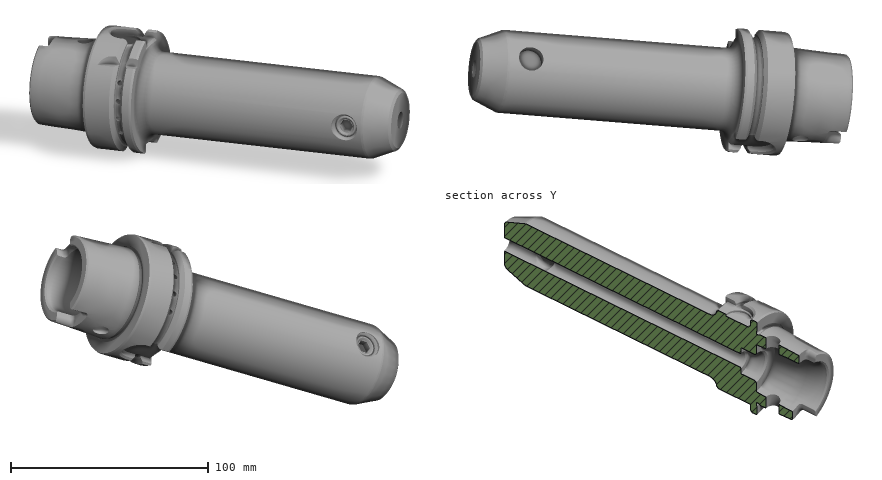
import cadquery as cq
import math

total_length = 192.0

taper_length = 32.0
taper_tail_radius = 22.7
taper_large_radius = 24.0
tail_edge_chamfer = 0.8
taper_end = 29.5
relief_start = 30.5
relief_depth = 0.8
face_recess_radius = 25.2
face_recess_depth = 0.5

flange_radius = 31.5
flange_end = taper_length + 26.0
flange_chamfer_length = 1.2
flange_chamfer_height = 0.4
groove_center = 49.7
groove_half_width = 3.5
groove_floor_half_width = 1.7
groove_floor_radius = 27.5
groove_wall_radius = 29.0
groove_corner_chamfer = 0.5

body_radius = 21.1
body_fillet = 4.5
nose_start = 178.5
nose_radius = 15.4
nose_blend = 2.9
nose_edge_chamfer = 1.2

entry_radius = 17.0
entry_chamfer = 0.8
entry_length = 13.2
clamp_bore_end_radius = 15.7
clamp_bore_depth = 32.6
nut_bore_radius = 8.6
nut_bore_depth = 42.2
nut_bore_chamfer = 1.0
passage_radius = 4.5
passage_chamfer = 0.8

tail_slot_width = 12.5
upper_slot_depth = 5.8
lower_slot_depth = 9.8
tail_slot_floor_fillet = 1.5
tail_slot_flare_radius = 2.9
tail_slot_flare_start = 18.5

access_hole_x = 22.5
access_hole_radius = 4.0

cutter_radius = 8.0
cutter_center_x = 44.5
drive_slot_floor = 26.5
drive_slot_chamfer = 1.2
chip_pocket_radius = 7.1
chip_pocket_depth = 1.2
notch_side = 20.4
notch_floor = 20.0

balance_hole_radius = 1.3
balance_hole_depth = 2.9
balance_hole_count = 4
balance_hole_first_angle = 25.5
balance_hole_pitch = 20.0

screw_x = 169.2
screw_radius = 5.8
screw_head_y = -18.5
screw_tip_y = -5.8
screw_chamfer = 0.8
socket_across_flats = 6.1
socket_depth = 4.8
socket_chamfer = 1.0
countersink_radius = 7.0
countersink_start = 18.6
relief_bore_x = 167.0
relief_bore_radius = 6.3
relief_bore_depth = 5.8

margin = 2.0
slack = 0.2


def revolve_about_x(points):
    """Solid of revolution from a closed (x, radius) outline."""
    return cq.Workplane("XZ").polyline(points).close().revolve(360, (0, 0, 0), (1, 0, 0))


def taper_and_body():
    """Taper shank, relief, body and nose: everything the flange sits on."""
    relief_radius = taper_large_radius - relief_depth
    recess_floor = taper_length + face_recess_depth
    core = (
        cq.Workplane("XZ")
        .moveTo(0, 0)
        .lineTo(0, taper_tail_radius - tail_edge_chamfer)
        .lineTo(tail_edge_chamfer, taper_tail_radius)
        .lineTo(taper_end, taper_large_radius)
        .lineTo(relief_start, taper_large_radius)
        .lineTo(relief_start + relief_depth, relief_radius)
        .lineTo(recess_floor, relief_radius)
        .lineTo(recess_floor, face_recess_radius)
        .lineTo(flange_end, face_recess_radius)
        .lineTo(flange_end, body_radius + body_fillet)
        .radiusArc((flange_end + body_fillet, body_radius), -body_fillet)
        .lineTo(nose_start, body_radius)
        .lineTo(total_length, nose_radius)
        .lineTo(total_length, 0)
        .close()
        .revolve(360, (0, 0, 0), (1, 0, 0))
    )
    nose_edge = cq.selectors.BoxSelector(
        (nose_start - slack, -flange_radius, -flange_radius),
        (nose_start + slack, flange_radius, flange_radius),
    )
    core = core.edges(nose_edge).fillet(nose_blend)
    return core.faces(">X").edges().chamfer(nose_edge_chamfer)


def flange_ring():
    """Flange with its drive slots, edge chamfers and V-groove, bored to fit the body."""
    start_plane = cq.Workplane("YZ", origin=(taper_length, 0, 0))
    ring = start_plane.circle(flange_radius).extrude(flange_end - taper_length)
    for turn in (0, 180):
        ring = ring.cut(drive_slot().rotate((0, 0, 0), (1, 0, 0), turn))
    ring = chamfer_slot_edges(ring)
    ring = ring.cut(groove_and_rim_cutter())
    return ring.cut(start_plane.circle(face_recess_radius).extrude(flange_end - taper_length))


def chamfer_slot_edges(ring):
    """Break the edges each drive slot leaves on the flange rim and on the floor's open end."""
    half_width = cutter_radius + slack
    rim_bottom = math.sqrt(flange_radius**2 - half_width**2) - slack
    for side in (1, -1):
        rim_edges = cq.selectors.BoxSelector(
            (taper_length + slack, -half_width, side * rim_bottom),
            (flange_end - slack, half_width, side * (flange_radius + slack)),
        )
        floor_end_edge = cq.selectors.BoxSelector(
            (flange_end - slack, -slack, side * (drive_slot_floor - slack)),
            (flange_end + slack, slack, side * (drive_slot_floor + slack)),
        )
        ring = ring.edges(rim_edges).chamfer(drive_slot_chamfer)
        ring = ring.edges(floor_end_edge).chamfer(drive_slot_chamfer)
    return ring


def groove_and_rim_cutter():
    """Ring that cuts the V-groove, together with the rings that chamfer both flange rims."""
    outside = flange_radius + margin
    cutter = revolve_about_x([
        (groove_center - groove_half_width, outside),
        (groove_center - groove_half_width, flange_radius),
        (groove_center - groove_floor_half_width, groove_wall_radius),
        (groove_center - groove_floor_half_width, groove_floor_radius + groove_corner_chamfer),
        (groove_center - groove_floor_half_width + groove_corner_chamfer, groove_floor_radius),
        (groove_center + groove_floor_half_width - groove_corner_chamfer, groove_floor_radius),
        (groove_center + groove_floor_half_width, groove_floor_radius + groove_corner_chamfer),
        (groove_center + groove_floor_half_width, groove_wall_radius),
        (groove_center + groove_half_width, flange_radius),
        (groove_center + groove_half_width, outside),
    ])
    for face_x, inward in ((taper_length, 1), (flange_end, -1)):
        rim_ring = revolve_about_x([
            (face_x, flange_radius - flange_chamfer_height),
            (face_x + inward * flange_chamfer_length, flange_radius),
            (face_x + inward * flange_chamfer_length, outside),
            (face_x, outside),
        ])
        cutter = cutter.union(rim_ring)
    return cutter


def inner_cavity():
    """Clamping bore, nut bore and the coolant passage that runs out through the nose."""
    return revolve_about_x([
        (0, 0),
        (0, entry_radius + entry_chamfer),
        (entry_chamfer, entry_radius),
        (entry_length, entry_radius),
        (clamp_bore_depth, clamp_bore_end_radius),
        (clamp_bore_depth, nut_bore_radius + nut_bore_chamfer),
        (clamp_bore_depth + nut_bore_chamfer, nut_bore_radius),
        (nut_bore_depth, nut_bore_radius),
        (nut_bore_depth, passage_radius + passage_chamfer),
        (nut_bore_depth + passage_chamfer, passage_radius),
        (total_length, passage_radius),
        (total_length, 0),
    ])


def tail_slot(depth, turn):
    """Slot cutter open at the tail face, flared outward near the taper surface, turned about X."""
    half_width = tail_slot_width / 2
    flare_half_width = half_width + tail_slot_flare_radius
    flare_end = tail_slot_flare_start + tail_slot_flare_radius
    top = taper_large_radius + margin
    slot = (
        cq.Workplane("YZ", origin=(-margin, 0, 0))
        .moveTo(-half_width, 0)
        .lineTo(half_width, 0)
        .lineTo(half_width, tail_slot_flare_start)
        .radiusArc((flare_half_width, flare_end), tail_slot_flare_radius)
        .lineTo(flare_half_width, top)
        .lineTo(-flare_half_width, top)
        .lineTo(-flare_half_width, flare_end)
        .radiusArc((-half_width, tail_slot_flare_start), tail_slot_flare_radius)
        .close()
        .extrude(depth + margin)
    )
    floor_corners = slot.faces(">X").edges("not |Y")
    slot = floor_corners.fillet(tail_slot_floor_fillet)
    return slot.rotate((0, 0, 0), (1, 0, 0), turn)


def access_hole():
    return (
        cq.Workplane("XY")
        .center(access_hole_x, 0)
        .circle(access_hole_radius)
        .extrude(taper_large_radius + margin, both=True)
    )


def drive_slot():
    """Flat-floored slot cutter with a round end, open toward +X."""
    run_out = flange_end - cutter_center_x + margin
    height = flange_radius - drive_slot_floor + margin
    plane = cq.Workplane("XY", origin=(cutter_center_x, 0, drive_slot_floor))
    round_end = plane.circle(cutter_radius).extrude(height)
    channel = plane.rect(run_out, 2 * cutter_radius).extrude(height).translate((run_out / 2, 0, 0))
    return round_end.union(channel)


def chip_pocket():
    """Shallow round pocket in the floor of the +Z drive slot."""
    return (
        cq.Workplane("XY", origin=(cutter_center_x, 0, drive_slot_floor - chip_pocket_depth))
        .circle(chip_pocket_radius)
        .extrude(flange_radius - drive_slot_floor)
    )


def orientation_notch():
    """Corner cut on the -Y, +Z side whose inner end follows the round cutter."""
    outer_y = notch_side + 2 * cutter_radius
    return (
        cq.Workplane("XY", origin=(0, 0, notch_floor))
        .moveTo(cutter_center_x, -notch_side)
        .lineTo(flange_end + margin, -notch_side)
        .lineTo(flange_end + margin, -outer_y)
        .lineTo(cutter_center_x, -outer_y)
        .threePointArc(
            (cutter_center_x - cutter_radius, -notch_side - cutter_radius),
            (cutter_center_x, -notch_side),
        )
        .close()
        .extrude(flange_radius)
    )


def balance_hole(angle):
    """Radial hole, angle measured from -Y toward +Z."""
    bottom = groove_floor_radius - balance_hole_depth
    return (
        cq.Workplane("XZ", origin=(groove_center, -bottom, 0))
        .circle(balance_hole_radius)
        .extrude(balance_hole_depth + margin)
        .rotate((0, 0, 0), (1, 0, 0), -angle)
    )


def screw_bore():
    """Bore from the -Y side into the coolant passage, widened by a 45 degree cone near the surface."""
    outside = body_radius + margin
    cone_end = countersink_start + countersink_radius - screw_radius
    return (
        cq.Workplane("XY")
        .polyline([
            (0, 0),
            (screw_radius, 0),
            (screw_radius, -countersink_start),
            (countersink_radius, -cone_end),
            (countersink_radius, -outside),
            (0, -outside),
        ])
        .close()
        .revolve(360, (0, 0, 0), (0, 1, 0))
        .translate((screw_x, 0, 0))
    )


def relief_bore():
    """Shallow blind bore in the +Y side of the body."""
    return (
        cq.Workplane("XZ", origin=(relief_bore_x, body_radius + margin, 0))
        .circle(relief_bore_radius)
        .extrude(relief_bore_depth + margin)
    )


def make_holder():
    holder = taper_and_body().union(flange_ring()).cut(inner_cavity())
    holder = holder.cut(tail_slot(upper_slot_depth, 0))
    holder = holder.cut(tail_slot(lower_slot_depth, 180))
    holder = holder.cut(access_hole())
    holder = holder.cut(chip_pocket())
    holder = holder.cut(orientation_notch())
    for index in range(balance_hole_count):
        angle = balance_hole_first_angle - index * balance_hole_pitch
        holder = holder.cut(balance_hole(angle))
    return holder.cut(screw_bore()).cut(relief_bore())


def make_screw():
    """Set screw with a hexagon socket that has a conical lead-in."""
    across_corners = socket_across_flats / math.cos(math.pi / 6)
    screw = (
        cq.Workplane("XZ", origin=(screw_x, screw_tip_y, 0))
        .circle(screw_radius)
        .extrude(screw_tip_y - screw_head_y)
        .faces("<Y or >Y")
        .chamfer(screw_chamfer)
    )
    socket = (
        cq.Workplane("XZ", origin=(screw_x, screw_head_y + socket_depth, 0))
        .polygon(6, across_corners)
        .extrude(socket_depth)
    )
    socket_lead_in = (
        cq.Workplane("XZ", origin=(screw_x, screw_head_y, 0))
        .circle(across_corners / 2 + socket_chamfer)
        .extrude(-socket_chamfer, taper=45)
    )
    return screw.cut(socket).cut(socket_lead_in)


holder = make_holder()
screw = make_screw()
result = cq.Compound.makeCompound([holder.val(), screw.val()])